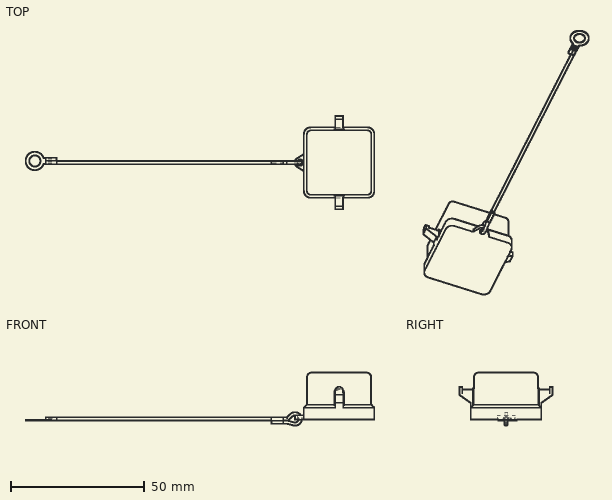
import cadquery as cq
import math

base_width = 26.5
base_corner_radius = 2.65
base_straight_height = 4.4
base_height = 5.6
body_width = 24.1
body_corner_radius = base_corner_radius - (base_width - body_width) / 2
cap_height = 17.65
top_edge_radius = 1.9

peg_span = 35.0
peg_radius = 1.5
peg_axis_z = 9.8
peg_lip_thickness = 1.2
peg_lip_top_z = 12.25
peg_lip_bottom_z = 9.2
peg_support_root_z = 6.2
boss_radius = 1.9
boss_projection = 0.35

lug_thickness = 1.6
lug_tip_radius = 2.0
lug_flank_angle = 32.0
lug_centre_x = -14.6
lug_hole_radius = 1.1

cable_diameter = 1.25
cable_z = 0.22
loop_centre_x = -16.5
loop_radius = 1.945
loop_fork_x = -19.4
sleeve_end_x = -20.9
sleeve_length = 4.5
sleeve_diameter = 1.35
strand_spacing = 1.2

overall_length = 130.74
ring_diameter = 7.0
ring_hole_diameter = 4.1
ring_thickness = 0.4
neck_width = 2.4
ring_centre_x = base_width / 2 - overall_length + ring_diameter / 2
terminal_sleeve_start_x = -110.0
terminal_sleeve_length = 4.2


def rounded_prism(width, corner_radius, height):
    return cq.Workplane("XY").rect(width, width).extrude(height).edges("|Z").fillet(corner_radius)


def make_cap():
    base = rounded_prism(base_width, base_corner_radius, base_height)
    base = base.faces(">Z").edges().chamfer(
        base_height - base_straight_height, (base_width - body_width) / 2
    )
    body = rounded_prism(body_width, body_corner_radius, cap_height)
    body = body.faces(">Z").edges().fillet(top_edge_radius)
    return base.union(body)


def arch(radius, centre_z, bottom_z, depth):
    """Round-topped slab in the XZ plane, running from Y = 0 to Y = -depth."""
    return (
        cq.Workplane("XZ")
        .moveTo(-radius, bottom_z)
        .lineTo(-radius, centre_z)
        .threePointArc((0, centre_z + radius), (radius, centre_z))
        .lineTo(radius, bottom_z)
        .close()
        .extrude(depth)
    )


def make_peg():
    """Peg on the -Y side: round-topped bar, taller end lip and sloping underside."""
    end_y = peg_span / 2
    lip = arch(peg_radius, peg_lip_top_z - peg_radius, base_straight_height, end_y)
    lip_zone = cq.Workplane("XY", origin=(0, -end_y, 0)).box(
        2 * peg_radius, peg_lip_thickness, cap_height, centered=(True, False, False)
    )
    lip = lip.intersect(lip_zone)
    bar = arch(peg_radius, peg_axis_z, base_straight_height, end_y)
    side_profile = (
        cq.Workplane("YZ")
        .polyline([
            (0, base_straight_height),
            (-base_width / 2, base_straight_height),
            (-base_width / 2, peg_support_root_z),
            (-end_y, peg_lip_bottom_z),
            (-end_y, cap_height),
            (0, cap_height),
        ])
        .close()
        .extrude(peg_radius, both=True)
    )
    boss = arch(boss_radius, peg_axis_z, base_straight_height, body_width / 2 + boss_projection)
    return bar.union(lip).intersect(side_profile).union(boss)


def make_lug():
    flank = math.radians(lug_flank_angle)
    wall_x = -base_width / 2
    tangent_x = lug_centre_x - lug_tip_radius * math.sin(flank)
    tangent_y = lug_tip_radius * math.cos(flank)
    root_y = tangent_y + (wall_x - tangent_x) * math.tan(flank)
    lug = (
        cq.Workplane("XY")
        .moveTo(wall_x, -root_y)
        .lineTo(tangent_x, -tangent_y)
        .threePointArc((lug_centre_x - lug_tip_radius, 0), (tangent_x, tangent_y))
        .lineTo(wall_x, root_y)
        .close()
        .extrude(lug_thickness)
    )
    hole = cq.Workplane("XY").center(lug_centre_x, 0).circle(lug_hole_radius).extrude(lug_thickness)
    return lug.cut(hole)


def rod_along_x(start_x, end_x, y, z, diameter):
    return (
        cq.Workplane("YZ", origin=(start_x, y, z)).circle(diameter / 2).extrude(end_x - start_x)
    )


def loop_tangent_angle(fork_z, side):
    """Angle on the loop circle where a strand from the fork touches it."""
    dx = loop_fork_x - loop_centre_x
    dz = fork_z - cable_z
    offset = math.acos(loop_radius / math.hypot(dx, dz))
    return math.atan2(dz, dx) - side * offset


def loop_point(angle):
    return (
        loop_centre_x + loop_radius * math.cos(angle),
        cable_z + loop_radius * math.sin(angle),
    )


def make_loop():
    """Cable end running round the lug and back, as one swept strand in the XZ plane."""
    return_z = cable_z - strand_spacing
    upper = loop_point(loop_tangent_angle(cable_z, 1))
    lower = loop_point(loop_tangent_angle(return_z, -1))
    path = (
        cq.Workplane("XZ")
        .moveTo(sleeve_end_x, cable_z)
        .lineTo(loop_fork_x, cable_z)
        .lineTo(*upper)
        .threePointArc(loop_point(0), lower)
        .lineTo(loop_fork_x, return_z)
        .lineTo(sleeve_end_x, return_z)
    )
    return (
        cq.Workplane("YZ", origin=(sleeve_end_x, 0, cable_z))
        .circle(cable_diameter / 2)
        .sweep(path, transition="round")
    )


def make_loop_sleeve():
    start_x = sleeve_end_x - sleeve_length
    upper = rod_along_x(start_x, sleeve_end_x, 0, cable_z, sleeve_diameter)
    lower = rod_along_x(start_x, sleeve_end_x, 0, cable_z - strand_spacing, sleeve_diameter)
    return upper.union(lower)


def make_terminal():
    """Flat ring with a neck and a sleeve of two round barrels lying side by side."""
    centre_y = strand_spacing / 2
    bottom_z = cable_z - cable_diameter / 2
    plate_plane = cq.Workplane("XY", origin=(ring_centre_x, centre_y, bottom_z))
    neck_length = terminal_sleeve_start_x + terminal_sleeve_length / 2 - ring_centre_x
    neck = plate_plane.box(neck_length, neck_width, ring_thickness, centered=(False, True, False))
    plate = plate_plane.circle(ring_diameter / 2).extrude(ring_thickness).union(neck)
    terminal = plate.cut(plate_plane.circle(ring_hole_diameter / 2).extrude(ring_thickness))
    end_x = terminal_sleeve_start_x + terminal_sleeve_length
    for y in (0, strand_spacing):
        barrel = rod_along_x(terminal_sleeve_start_x, end_x, y, cable_z, sleeve_diameter)
        terminal = terminal.union(barrel)
    return terminal


def make_cable():
    return rod_along_x(terminal_sleeve_start_x, sleeve_end_x, 0, cable_z, cable_diameter)


peg = make_peg()
result = (
    make_cap()
    .union(peg)
    .union(peg.mirror("XZ"))
    .union(make_lug())
    .union(make_loop())
    .union(make_loop_sleeve())
    .union(make_cable())
    .union(make_terminal())
)